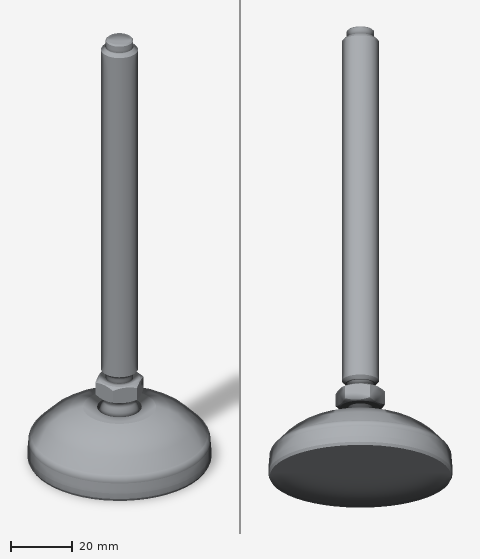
import cadquery as cq
import math

foot_radius = 30.0
foot_chamfer_width = 0.5
foot_chamfer_height = 1.0
foot_band_top = 3.0
rim_radius = 29.7
rim_top = 6.5
dome_start_radius = 28.6
dome_start_height = 9.0
dome_arc_radius = 25.5
shoulder_blend_radius = 2.8
crown_radius = 13.1
crown_chamfer_width = 1.2
crown_chamfer_drop = 0.3
foot_height = 19.0

ball_diameter = 13.3
neck_diameter = 8.0
neck_start_height = 22.0
pocket_diameter = 14.5

nut_across_flats = 14.1
nut_height = 6.0
nut_base_height = 23.8
nut_face_diameter = 13.3
nut_chamfer_angle = 30
nut_sides = 6

total_height = 154.7
rod_diameter = 12.0
rod_start_height = 32.0
rod_end_height = 151.9
rod_chamfer = 1.1
undercut_diameter = 9.0
tip_chamfer = 0.5

ball_radius = ball_diameter / 2
neck_radius = neck_diameter / 2
ball_center_height = neck_start_height - math.sqrt(ball_radius**2 - neck_radius**2)
nut_top_height = nut_base_height + nut_height
nut_half_angle = 180 / nut_sides
nut_across_corners = nut_across_flats / math.cos(math.radians(nut_half_angle))


def cylinder(diameter, bottom, top):
    """Upright cylinder on the Z axis between two heights."""
    return cq.Workplane("XY").workplane(offset=bottom).circle(diameter / 2).extrude(top - bottom)


def make_foot():
    """Domed foot with a clearance pocket that reaches down to the middle of the ball."""
    profile = (
        cq.Workplane("XZ")
        .lineTo(foot_radius - foot_chamfer_width, 0)
        .lineTo(foot_radius, foot_chamfer_height)
        .lineTo(foot_radius, foot_band_top)
        .lineTo(rim_radius, rim_top)
        .radiusArc((dome_start_radius, dome_start_height), -shoulder_blend_radius)
        .radiusArc((crown_radius, foot_height - crown_chamfer_drop), -dome_arc_radius)
        .lineTo(crown_radius - crown_chamfer_width, foot_height)
        .lineTo(0, foot_height)
        .close()
    )
    foot = profile.revolve(360, (0, 0, 0), (0, 1, 0))
    return foot.cut(cylinder(pocket_diameter, ball_center_height, foot_height))


def make_ball_joint():
    """Ball seated in the foot and the neck that carries the nut."""
    ball = cq.Workplane("XY").sphere(ball_radius).translate((0, 0, ball_center_height))
    return ball.union(cylinder(neck_diameter, ball_center_height, nut_base_height))


def make_nut():
    """Hexagon whose corners are trimmed by a cone at each end."""
    hexagon = (
        cq.Workplane("XY")
        .workplane(offset=nut_base_height)
        .polygon(nut_sides, nut_across_corners)
        .extrude(nut_height)
        .rotate((0, 0, 0), (0, 0, 1), nut_half_angle)
    )
    face_radius = nut_face_diameter / 2
    corner_radius = nut_across_corners / 2
    corner_drop = (corner_radius - face_radius) * math.tan(math.radians(nut_chamfer_angle))
    envelope = (
        cq.Workplane("XZ")
        .moveTo(0, nut_base_height)
        .lineTo(face_radius, nut_base_height)
        .lineTo(corner_radius, nut_base_height + corner_drop)
        .lineTo(corner_radius, nut_top_height - corner_drop)
        .lineTo(face_radius, nut_top_height)
        .lineTo(0, nut_top_height)
        .close()
        .revolve(360, (0, 0, 0), (0, 1, 0))
    )
    return hexagon.intersect(envelope)


def make_spindle():
    """Long rod with chamfered ends, an undercut above the nut and a reduced tip."""
    undercut = cylinder(undercut_diameter, nut_top_height, rod_start_height)
    rod = cylinder(rod_diameter, rod_start_height, rod_end_height).edges().chamfer(rod_chamfer)
    tip = cylinder(undercut_diameter, rod_end_height, total_height).faces(">Z").chamfer(tip_chamfer)
    return undercut.union(rod).union(tip)


result = make_foot().union(make_ball_joint()).union(make_nut()).union(make_spindle())